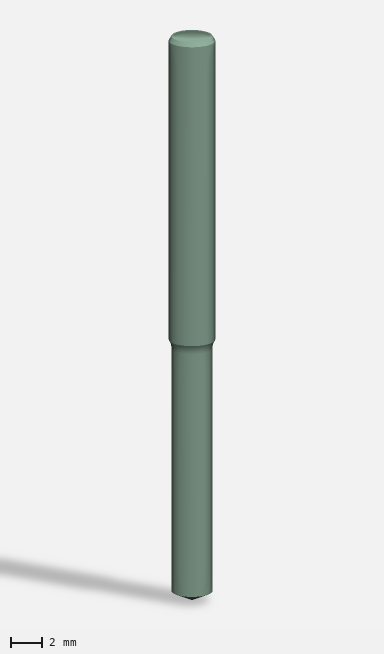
import cadquery as cq
import math

total_length = 38.0
shank_diameter = 3.0
cutter_diameter = 2.65
point_angle = 130.0
joint_height = 15.85
neck_top_height = 17.0
blend_radius = 1.0
end_chamfer_length = 0.3
end_chamfer_angle = 30.0

shank_radius = shank_diameter / 2
cutter_radius = cutter_diameter / 2
point_length = cutter_radius / math.tan(math.radians(point_angle / 2))
end_chamfer_depth = end_chamfer_length * math.tan(math.radians(end_chamfer_angle))


def blend_point(angle):
    """Point on the blend arc, at an angle swept up from the end of the neck."""
    radius = cutter_radius + blend_radius * (1 - math.cos(angle))
    height = neck_top_height + blend_radius * math.sin(angle)
    return radius, height


def revolve_about_z(profile):
    """Turn a closed radius-height profile into a solid about the Z axis."""
    return profile.revolve(360, (0, 0, 0), (0, 1, 0))


def make_cutter():
    """Plain cylinder with a conical point at its lower end."""
    profile = (
        cq.Workplane("XZ")
        .moveTo(0, 0)
        .lineTo(cutter_radius, point_length)
        .lineTo(cutter_radius, joint_height)
        .lineTo(0, joint_height)
        .close()
    )
    return revolve_about_z(profile)


def make_shank():
    """Short neck, concave blend out to the full diameter, chamfered upper end."""
    radial_step = shank_radius - cutter_radius
    sweep = math.acos(1 - radial_step / blend_radius)
    profile = (
        cq.Workplane("XZ")
        .moveTo(0, joint_height)
        .lineTo(cutter_radius, joint_height)
        .lineTo(cutter_radius, neck_top_height)
        .threePointArc(blend_point(sweep / 2), blend_point(sweep))
        .lineTo(shank_radius, total_length - end_chamfer_length)
        .lineTo(shank_radius - end_chamfer_depth, total_length)
        .lineTo(0, total_length)
        .close()
    )
    return revolve_about_z(profile)


cutter = make_cutter()
shank = make_shank()

result = cq.Compound.makeCompound([cutter.val(), shank.val()])